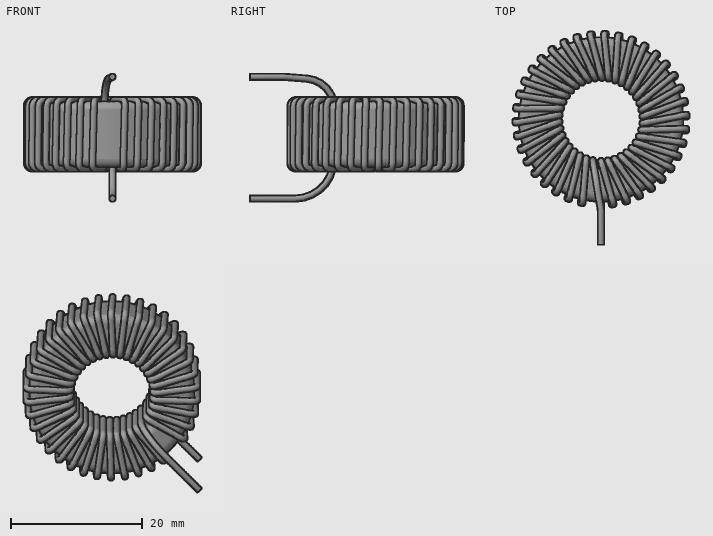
import math

import cadquery as cq

core_outer_radius = 12.52
core_inner_radius = 7.5
core_height = 10.0
core_fillet = 1.25

wire_diameter = 1.0
turns = 37
turn_pitch = 9.42
bend_radius = 0.88
coil_outer_radius = 13.5
coil_inner_radius = 5.82
coil_height = 11.4

inner_angle = 270.0
outer_top_angle = 278.4
outer_bottom_angle = 277.2

lead_end_y = -19.04
bottom_lead_z = -9.77
bottom_lead_bend = 5.9
top_lead_z = 8.73
top_lead_bend = 4.6
top_lead_kink_y = -13.9
top_lead_kink_bend = 4.5
top_lead_rise = 0.6

wire_radius = wire_diameter / 2
outer_run_radius = coil_outer_radius - wire_radius
inner_run_radius = coil_inner_radius + wire_radius
run_z = coil_height / 2 - wire_radius


def polar_point(radius, angle, z):
    """Point at a radius and an angle in degrees about the core axis."""
    radians = math.radians(angle)
    return cq.Vector(radius * math.cos(radians), radius * math.sin(radians), z)


def make_core():
    """Ring with all four circular edges rounded."""
    section = cq.Workplane("XY").circle(core_outer_radius).circle(core_inner_radius)
    ring = section.extrude(core_height / 2, both=True)
    return ring.edges("%CIRCLE").fillet(core_fillet)


def turn_corners(turn):
    """Corners of one turn, from the top of its run up the bore to the bottom of the next one."""
    advance = turn * turn_pitch
    return [
        (polar_point(inner_run_radius, inner_angle + advance, run_z), bend_radius),
        (polar_point(outer_run_radius, outer_top_angle + advance, run_z), bend_radius),
        (polar_point(outer_run_radius, outer_bottom_angle + advance, -run_z), bend_radius),
        (polar_point(inner_run_radius, inner_angle + advance + turn_pitch, -run_z), bend_radius),
    ]


def wire_corners():
    """Corner points of the whole wire with the bend radius at each, from bottom lead to top lead."""
    bottom_lead_corner = polar_point(inner_run_radius, inner_angle, bottom_lead_z)
    corners = [
        (cq.Vector(0, lead_end_y, bottom_lead_z), 0),
        (bottom_lead_corner, bottom_lead_bend),
    ]
    for turn in range(turns):
        corners += turn_corners(turn)
    last_angle = inner_angle + turns * turn_pitch
    top_lead_corner = polar_point(inner_run_radius, last_angle, top_lead_z - top_lead_rise)
    corners += [
        (top_lead_corner, top_lead_bend),
        (cq.Vector(0, top_lead_kink_y, top_lead_z), top_lead_kink_bend),
        (cq.Vector(0, lead_end_y, top_lead_z), 0),
    ]
    return corners


def rounded_path(corners):
    """Path of straight runs joined by tangent arcs at every corner between the two ends."""
    edges = []
    position = corners[0][0]
    for (before, _), (corner, radius), (after, _) in zip(corners, corners[1:], corners[2:]):
        to_before = (before - corner).normalized()
        to_after = (after - corner).normalized()
        half_angle = to_before.getAngle(to_after) / 2
        tangent_length = radius / math.tan(half_angle)
        arc_start = corner + to_before * tangent_length
        arc_end = corner + to_after * tangent_length
        bisector = (to_before + to_after).normalized()
        arc_middle = corner + bisector * (radius / math.sin(half_angle) - radius)
        edges.append(cq.Edge.makeLine(position, arc_start))
        edges.append(cq.Edge.makeThreePointArc(arc_start, arc_middle, arc_end))
        position = arc_end
    edges.append(cq.Edge.makeLine(position, corners[-1][0]))
    return cq.Wire.assembleEdges(edges)


def make_coil():
    """Round wire swept along its whole centreline."""
    corners = wire_corners()
    path = cq.Workplane(rounded_path(corners))
    path_start = corners[0][0]
    first_corner = corners[1][0]
    section = cq.Workplane(cq.Plane(path_start, normal=first_corner - path_start))
    return section.circle(wire_radius).sweep(path)


result = make_core().union(make_coil()).solids()